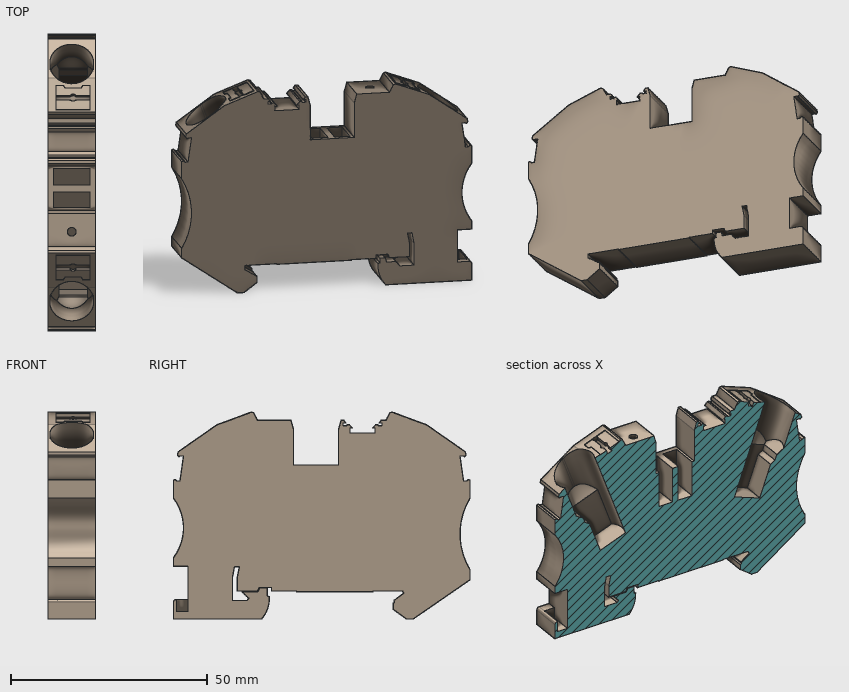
import cadquery as cq
import math

WIDTH = 12.15
LENGTH = 75.4
HEIGHT = 52.63
HALF_W = WIDTH / 2
HALF_L = LENGTH / 2

DECK_Z = 50.55
CHANNEL_Z = 39.2
CHANNEL_Y_POS = 4.25
CHANNEL_Y_NEG = -7.15
CHANNEL_LEAD_IN = 0.65
CHANNEL_LEAD_IN_Z = 48.25

KINK_Y = 26.6
KINK_Z = 49.4
CREST_Y = 17.9
ROOF_ANGLE = math.degrees(math.atan2(HEIGHT - KINK_Z, KINK_Y - CREST_Y))

MARKER_Y = 10.35
MARKER_FLOOR_Z = 47.35

FINGER_TOP_Z = 30.75
FINGER_DEPTH = 2.55
FINGER_BOTTOM_Z_POS = 12.55
FINGER_BOTTOM_Z_NEG = 15.6

SEAT_Z = 7.1
SEAT_STEP = 0.15
SEAT_STEP_Y_POS = 13.0
SEAT_STEP_Y_NEG = -6.4
HOOK_ROOT_Y = 21.3
HOOK_TIP_Y = 18.1
LATCH_FOOT = (-15.3, 0)
LATCH_NOSE_MID = (-13.75, 2.6)
LATCH_NOSE_TOP = (-13.3, 5.7)

RELEASE_Y = -34.0
RELEASE_FLOOR_Z = 5.0
RELEASE_TOP_Z = 13.4
LIP_ROUND = 0.7
RELEASE_POCKET_DEPTH = 3.0
RELEASE_POCKET_LENGTH = 2.9
RELEASE_POCKET_MARGIN = 2.5

HOOK_LOW_WIDTH = 5.0

INNER_X = 0.34
BORE_TILT = 20.0
BORE_HALF_X = 5.58
BORE_HALF_Y = 5.82
BORE_Y = 29.63
BORE_Z = 45.4
BORE_ABOVE = 12.0
BORE_DEPTH = 24.0
CLAMP_WIDTH = 7.25
TAPER_START = 8.4
TAPER_END = 11.75
RAMP_ANGLE = 30.0
RAMP_START = 9.2
RAMP_RUNS = (2.85, 1.35)
STEP_DROP = 1.6

WINDOW_WIDTH = 8.64
WINDOW_Y_IN = 18.5
WINDOW_Y_OUT = 24.7
WINDOW_DEPTH = 0.15
WINDOW_NOTCH = 0.7
WINDOW_NOTCH_INNER = 4.1
WINDOW_NOTCH_OUTER = 4.9
SLOT_Y_IN = 21.05
SLOT_Y_OUT = 22.2
SLOT_DEPTH = 1.3
SCREW_DIMPLE_RADIUS = 0.95

JUMPER_WIDTH = 9.38
JUMPER_SPANS = ((-0.6, 3.55), (-6.28, -2.37))
JUMPER_DEPTH = 10.0
TEST_HOLE_Y = -12.5
TEST_HOLE_DIAMETER = 2.2
TEST_HOLE_DEPTH = 5.0


def extrude_yz(points, x_start, x_end):
    """Prism with a (Y, Z) outline between two X positions."""
    prism = cq.Workplane("YZ").polyline(points).close().extrude(x_end - x_start)
    return prism.translate((x_start, 0, 0))


def wing_points():
    """Wing outline on the +Y side, from the end face up to the deck."""
    return [
        (HALF_L, FINGER_TOP_Z),
        (HALF_L, 35.3),
        (37.3, 35.5),
        (36.75, 35.1),
        (36.05, 35.1),
        (35.15, 41.4),
        (36.0, 41.4),
        (36.3, 41.25),
        (36.7, 41.7),
        (36.5, 42.5),
        (KINK_Y, KINK_Z),
        (CREST_Y, HEIGHT),
        (17.3, 52.45),
        (16.3, DECK_Z),
    ]


def marker_points():
    """One side of the marker groove, as offsets from its middle, outside to floor."""
    return [
        (4.75, DECK_Z),
        (4.25, 49.8),
        (4.9, 49.8),
        (4.9, 49.15),
        (4.0, 49.15),
        (3.9, 49.4),
        (3.35, 49.4),
        (2.5, 48.5),
        (3.17, 48.5),
        (3.17, MARKER_FLOOR_Z),
    ]


def mirror_y(points):
    """Outline mirrored to the -Y side, with its direction reversed."""
    return [(-y, z) for y, z in reversed(points)]


def top_points():
    """Whole upper outline, from the +Y end face to the -Y end face."""
    marker = marker_points()
    channel = [
        (CHANNEL_Y_POS + CHANNEL_LEAD_IN, DECK_Z),
        (CHANNEL_Y_POS, CHANNEL_LEAD_IN_Z),
        (CHANNEL_Y_POS, CHANNEL_Z),
        (CHANNEL_Y_NEG, CHANNEL_Z),
        (CHANNEL_Y_NEG, CHANNEL_LEAD_IN_Z),
        (CHANNEL_Y_NEG - CHANNEL_LEAD_IN, DECK_Z),
    ]
    near_side = [(MARKER_Y + offset, z) for offset, z in marker]
    far_side = [(MARKER_Y - offset, z) for offset, z in reversed(marker)]
    return wing_points() + near_side + far_side + channel + mirror_y(wing_points())


def latch_points():
    """Rail seat, release gap and latch top, from the fixed hook to the latch nose."""
    return [
        (HOOK_ROOT_Y, SEAT_Z),
        (SEAT_STEP_Y_POS, SEAT_Z),
        (SEAT_STEP_Y_POS, SEAT_Z - SEAT_STEP),
        (SEAT_STEP_Y_NEG, SEAT_Z - SEAT_STEP),
        (SEAT_STEP_Y_NEG, SEAT_Z),
        (-12.8, SEAT_Z),
        (-12.8, 8.0),
        (-15.9, 8.0),
        (-16.3, SEAT_Z),
        (-21.5, SEAT_Z),
        (-21.5, 10.6),
        (-20.95, 13.3),
        (-22.15, 13.3),
        (-22.65, 10.6),
        (-22.65, 4.8),
        (-19.0, 4.8),
        (-17.95, 6.0),
        (-15.55, 6.0),
        (-15.2, SEAT_Z),
        (-13.8, SEAT_Z),
        (-13.8, 5.9),
        LATCH_NOSE_TOP,
    ]


def make_body():
    """Housing outline extruded over the full width."""
    release = [
        (-HALF_L, 0),
        (-HALF_L, RELEASE_FLOOR_Z),
        (RELEASE_Y, RELEASE_FLOOR_Z),
        (RELEASE_Y, RELEASE_TOP_Z),
        (-HALF_L, RELEASE_TOP_Z),
        (-HALF_L, FINGER_BOTTOM_Z_NEG),
    ]
    hook = [
        (HALF_L, 10.0),
        (23.2, 0),
        (21.55, 0),
        (HOOK_TIP_Y, 2.5),
        (HOOK_TIP_Y, 4.05),
        (HOOK_ROOT_Y, 6.05),
    ]
    finger_mid_neg = (FINGER_BOTTOM_Z_NEG + FINGER_TOP_Z) / 2
    finger_mid_pos = (FINGER_BOTTOM_Z_POS + FINGER_TOP_Z) / 2
    outline = (
        cq.Workplane("YZ")
        .polyline(top_points())
        .threePointArc((-HALF_L + FINGER_DEPTH, finger_mid_neg), release[-1])
        .polyline(list(reversed(release))[1:], includeCurrent=True)
        .lineTo(*LATCH_FOOT)
        .threePointArc(LATCH_NOSE_MID, LATCH_NOSE_TOP)
        .polyline(list(reversed(latch_points()))[1:], includeCurrent=True)
        .polyline(list(reversed(hook)), includeCurrent=True)
        .lineTo(HALF_L, FINGER_BOTTOM_Z_POS)
        .threePointArc((HALF_L - FINGER_DEPTH, finger_mid_pos), (HALF_L, FINGER_TOP_Z))
        .close()
    )
    body = outline.extrude(WIDTH).translate((-HALF_W, 0, 0))
    lip_edge = cq.selectors.NearestToPointSelector((0, -HALF_L, RELEASE_FLOOR_Z))
    return body.edges(lip_edge).fillet(LIP_ROUND)


def hook_inserts():
    """Raised inner parts of the latch and the fixed hook, beyond the lower stretch."""
    latch_top = [
        (-13.8, 5.5),
        (-13.8, 7.95),
        (-15.8, 7.95),
        (-16.25, 7.0),
        (-20.3, 7.0),
        (-18.6, 5.3),
    ]
    hook_top = [
        (HOOK_ROOT_Y, 5.9),
        (HOOK_ROOT_Y, SEAT_Z),
        (20.5, SEAT_Z),
        (20.8, 6.6),
        (18.3, 4.75),
        (18.5, 4.2),
    ]
    x_start = -HALF_W + HOOK_LOW_WIDTH
    return extrude_yz(latch_top, x_start, HALF_W).union(extrude_yz(hook_top, x_start, HALF_W))


def release_pocket():
    """Pocket in the release slot floor, open at the +X side."""
    size_x = WIDTH - RELEASE_POCKET_MARGIN
    pocket = cq.Workplane("XY").box(
        size_x, RELEASE_POCKET_LENGTH, RELEASE_POCKET_DEPTH, centered=(False, False, False)
    )
    return pocket.translate(
        (
            -HALF_W + RELEASE_POCKET_MARGIN,
            RELEASE_Y - RELEASE_POCKET_LENGTH,
            RELEASE_FLOOR_Z - RELEASE_POCKET_DEPTH,
        )
    )


def bore_cutter():
    """Entry bore of the +Y wing: slightly elongated bore, tapered sides and stepped floor."""
    bore = (
        cq.Workplane("XY")
        .slot2D(2 * BORE_HALF_Y, 2 * BORE_HALF_X, 90)
        .extrude(BORE_ABOVE + BORE_DEPTH)
        .translate((0, 0, -BORE_DEPTH))
    )

    clamp_left = INNER_X - CLAMP_WIDTH / 2
    clamp_right = INNER_X + CLAMP_WIDTH / 2
    sides = (
        cq.Workplane("XZ")
        .polyline(
            [
                (-BORE_HALF_X, BORE_ABOVE),
                (-BORE_HALF_X, -TAPER_START),
                (clamp_left, -TAPER_END),
                (clamp_left, -BORE_DEPTH),
                (clamp_right, -BORE_DEPTH),
                (clamp_right, -TAPER_END),
                (BORE_HALF_X, -TAPER_START),
                (BORE_HALF_X, BORE_ABOVE),
            ]
        )
        .close()
        .extrude(BORE_HALF_Y, both=True)
    )

    run_scale = 1 / math.cos(math.radians(RAMP_ANGLE))
    local_angle = math.radians(RAMP_ANGLE + BORE_TILT)
    floor = [(BORE_HALF_Y, BORE_ABOVE), (BORE_HALF_Y, -RAMP_START)]
    for run in RAMP_RUNS:
        y, z = floor[-1]
        ramp = run * run_scale
        y -= ramp * math.cos(local_angle)
        z -= ramp * math.sin(local_angle)
        floor.append((y, z))
        floor.append((y, z - STEP_DROP))
    floor[-1] = (floor[-1][0], -BORE_DEPTH)
    floor += [(-BORE_HALF_Y, -BORE_DEPTH), (-BORE_HALF_Y, BORE_ABOVE)]
    depth_limit = extrude_yz(floor, -HALF_W, HALF_W)

    cutter = bore.intersect(sides).intersect(depth_limit)
    return cutter.rotate((0, 0, 0), (1, 0, 0), -BORE_TILT).translate((0, BORE_Y, BORE_Z))


def window_cutter():
    """Screw window of the +Y wing: shallow panel, screwdriver slot and dimple."""
    slope = math.cos(math.radians(ROOF_ANGLE))

    def along_roof(y):
        return (y - KINK_Y) / slope

    half = WINDOW_WIDTH / 2
    outer = along_roof(WINDOW_Y_OUT)
    inner = along_roof(WINDOW_Y_IN)
    panel = (
        cq.Workplane("XY")
        .polyline(
            [
                (-half, inner),
                (half, inner),
                (half, outer),
                (WINDOW_NOTCH_OUTER / 2, outer),
                (WINDOW_NOTCH_INNER / 2, outer - WINDOW_NOTCH),
                (-WINDOW_NOTCH_INNER / 2, outer - WINDOW_NOTCH),
                (-WINDOW_NOTCH_OUTER / 2, outer),
                (-half, outer),
            ]
        )
        .close()
        .extrude(-WINDOW_DEPTH)
    )
    slot_in = along_roof(SLOT_Y_IN)
    slot_out = along_roof(SLOT_Y_OUT)
    slot_mid = (slot_in + slot_out) / 2
    slot = cq.Workplane("XY").center(0, slot_mid).rect(WINDOW_WIDTH, slot_out - slot_in)
    dimple = cq.Workplane("XY").center(0, slot_mid).circle(SCREW_DIMPLE_RADIUS)
    cutter = panel.union(slot.extrude(-SLOT_DEPTH)).union(dimple.extrude(-SLOT_DEPTH))
    return cutter.rotate((0, 0, 0), (1, 0, 0), -ROOF_ANGLE).translate((INNER_X, KINK_Y, KINK_Z))


def jumper_pocket(y_start, y_end):
    """Rectangular pocket in the channel floor."""
    pocket = cq.Workplane("XY").rect(JUMPER_WIDTH, y_end - y_start).extrude(-JUMPER_DEPTH)
    return pocket.translate((0, (y_start + y_end) / 2, CHANNEL_Z))


def test_hole():
    """Round blind hole in the deck."""
    hole = cq.Workplane("XY").circle(TEST_HOLE_DIAMETER / 2).extrude(-TEST_HOLE_DEPTH)
    return hole.translate((0, TEST_HOLE_Y, DECK_Z))


result = make_body().union(hook_inserts()).cut(release_pocket())
for wing_cutter in (bore_cutter(), window_cutter()):
    result = result.cut(wing_cutter).cut(wing_cutter.mirror("XZ"))
for span in JUMPER_SPANS:
    result = result.cut(jumper_pocket(*span))
result = result.cut(test_hole())